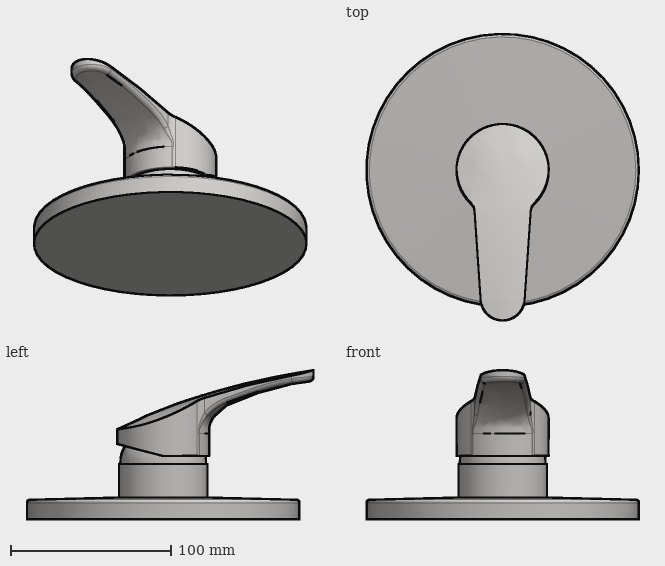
import cadquery as cq
import math

overall_length = 178.7

plate_radius = 170.0 / 2
plate_rim_height = 12.3
plate_edge_round = 2.0
plate_crest_height = 13.8

column_radius = 27.7
column_top = 34.7
neck_radius = 26.8
neck_mid_radius = 26.0
neck_top_radius = 23.2
neck_mid_height = 40.7
neck_top = 46.5

hub_radius = 28.8
hub_bottom = 39.5
hub_back_bottom = 47.0
bend_radius = 30.4
bend_start_height = 53.6
handle_ceiling = 100.0
lever_root_half_width = 17.7
lever_tip_radius = 13.8
lever_reach = overall_length - plate_radius
lever_root_round = 7.1
crown_radius = 80.4
crown_half_width = 44.7
handle_edge_round = 0.7
underside_round = 3.2
hub_bottom_round = 0.4
cutter_height = 53.6
selection_margin = 1.8

lever_crown_point = (-51.5, 84.9)
crown_line = [
    (39.3, 50.4),
    (28.8, 56.1),
    (-8.5, 72.2),
    (-23.4, 77.0),
    lever_crown_point,
    (-93.6, 93.0),
    (-116.1, 96.7),
]

lever_underside_point = (-51.5, 76.1)
underside_line = [
    (-hub_radius, 57.2),
    (-32.2, 64.9),
    (-41.8, 72.2),
    lever_underside_point,
    (-81.3, 84.5),
    (-103.6, 89.7),
    (-146.5, handle_ceiling),
]


def make_plate():
    rim = cq.Workplane("XY").circle(plate_radius).extrude(plate_rim_height)
    rim = rim.faces(">Z").edges().fillet(plate_edge_round)
    face_radius = plate_radius - plate_edge_round
    cone = cq.Solid.makeCone(
        face_radius, column_radius, plate_crest_height - plate_rim_height, cq.Vector(0, 0, plate_rim_height)
    )
    return rim.union(cq.Workplane(cone))


def make_column():
    return (
        cq.Workplane("XZ")
        .lineTo(column_radius, 0)
        .lineTo(column_radius, column_top)
        .lineTo(neck_radius, column_top)
        .threePointArc((neck_mid_radius, neck_mid_height), (neck_top_radius, neck_top))
        .lineTo(0, neck_top)
        .close()
        .revolve(360, (0, 0), (0, 1))
    )


def make_bent_hub():
    """Circles of constant radius, stacked so that their front edge follows the underside."""
    front_center = bend_radius - hub_radius
    hub = cq.Workplane("XY", origin=(0, front_center, hub_bottom)).circle(bend_radius)
    hub = hub.extrude(bend_start_height - hub_bottom)
    rings = [(-hub_radius, bend_start_height)] + underside_line
    wires = [
        cq.Wire.makeCircle(bend_radius, cq.Vector(0, front + bend_radius, height), cq.Vector(0, 0, 1))
        for front, height in rings
    ]
    return hub.union(cq.Workplane(cq.Solid.makeLoft(wires)))


def make_plan():
    """Keyhole-shaped prism: the hub circle joined to the round-ended lever."""
    height = handle_ceiling - hub_bottom
    root_y = -math.sqrt(hub_radius**2 - lever_root_half_width**2)
    tip_y = lever_tip_radius - lever_reach
    root_edges = cq.selectors.BoxSelector(
        (-hub_radius, root_y - selection_margin, hub_bottom),
        (hub_radius, root_y + selection_margin, handle_ceiling),
    )
    return (
        cq.Workplane("XY", origin=(0, 0, hub_bottom))
        .moveTo(lever_root_half_width, root_y)
        .threePointArc((0, hub_radius), (-lever_root_half_width, root_y))
        .lineTo(-lever_tip_radius, tip_y)
        .threePointArc((0, -lever_reach), (lever_tip_radius, tip_y))
        .close()
        .extrude(height)
        .edges(root_edges)
        .edges("|Z")
        .fillet(lever_root_round)
    )


def make_crown_cutter():
    """Everything above the handle's crowned upper face."""
    start_y, start_z = crown_line[0]
    next_y, next_z = crown_line[1]
    slope = cq.Vector(0, next_y - start_y, next_z - start_z)
    drop = crown_radius - math.sqrt(crown_radius**2 - crown_half_width**2)
    path = cq.Workplane("YZ").spline(crown_line)
    section_plane = cq.Plane(origin=(0, start_y, start_z), xDir=(1, 0, 0), normal=slope.toTuple())
    return (
        cq.Workplane(section_plane)
        .moveTo(-crown_half_width, -drop)
        .threePointArc((0, 0), (crown_half_width, -drop))
        .lineTo(crown_half_width, cutter_height)
        .lineTo(-crown_half_width, cutter_height)
        .close()
        .sweep(path)
    )


def make_back_relief():
    """Wedge that slopes the hub's underside up toward the back."""
    return (
        cq.Workplane("YZ")
        .moveTo(0, hub_bottom)
        .lineTo(hub_radius, hub_back_bottom)
        .lineTo(hub_radius, hub_bottom)
        .close()
        .extrude(hub_radius, both=True)
    )


def make_handle():
    handle = make_bent_hub().intersect(make_plan())
    handle = handle.cut(make_crown_cutter()).cut(make_back_relief())
    nearest = cq.selectors.NearestToPointSelector
    lever_underside_edges = cq.selectors.BoxSelector(
        (-hub_radius, -lever_reach - selection_margin, bend_start_height + selection_margin),
        (hub_radius, -hub_radius, handle_ceiling),
    )
    underside_point = (0, *lever_underside_point)
    handle = handle.faces(nearest(underside_point)).edges(lever_underside_edges).fillet(underside_round)
    crown_point = (0, *lever_crown_point)
    handle = handle.faces(nearest(crown_point)).edges().fillet(handle_edge_round)
    return handle.faces("<Z").edges().fillet(hub_bottom_round)


result = make_plate().union(make_column()).union(make_handle())